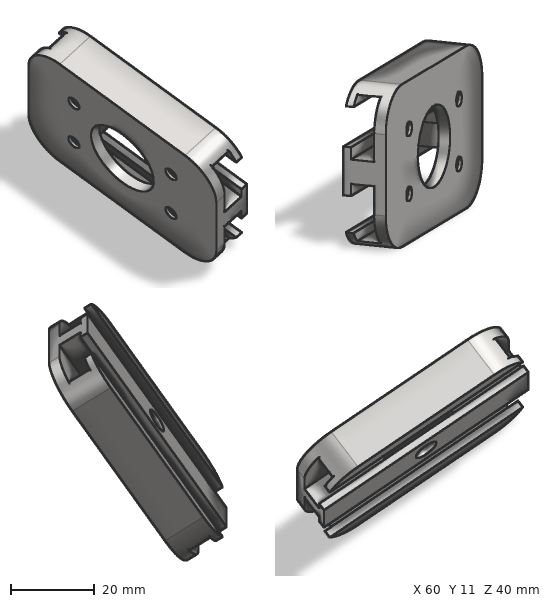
import cadquery as cq

length = 60.0
depth = 11.0
height = 40.0
corner_radius = 10.0

plate_thickness = 3.0
lip_thickness = 2.0
wall_thickness = 2.0
web_height = 6.0
flange_height = 12.0
lip_edge_z = 15.5

bore_diameter = 20.0
centre_hole_diameter = 6.0
screw_hole_diameter = 3.5
countersink_depth = 2.0
countersink_diameter = screw_hole_diameter + 2 * countersink_depth
screw_spacing_x = 31.0
screw_spacing_z = 16.0

lip_y = depth - lip_thickness


def rounded_block():
    """Full envelope with rounded corners, the plate front at Y = 0."""
    block = cq.Workplane("XY").box(length, depth, height, centered=(True, False, True))
    return block.edges("|Y").fillet(corner_radius)


def slab(y_start, y_end, z_start, z_end):
    """Box over the full length between the given Y and Z limits."""
    box = cq.Workplane("XY").box(length, y_end - y_start, z_end - z_start, centered=(True, False, False))
    return box.translate((0, y_start, z_start))


def t_slot():
    """Upper T-slot: a wide channel with a narrower mouth through the back."""
    channel = slab(plate_thickness, lip_y, web_height / 2, height / 2 - wall_thickness)
    mouth = slab(lip_y, depth, flange_height / 2, lip_edge_z)
    return channel.union(mouth)


def cylinder(diameter, y_start, y_end, x=0.0, z=0.0):
    """Cylinder along Y between the given limits."""
    axis_start = cq.Vector(x, y_start, z)
    return cq.Workplane(cq.Solid.makeCylinder(diameter / 2, y_end - y_start, axis_start, cq.Vector(0, 1, 0)))


def web_gap():
    """Square-ended gap in the web, as long as the bore is wide."""
    gap = cq.Workplane("XY").box(bore_diameter, lip_y - plate_thickness, web_height, centered=(True, False, True))
    return gap.translate((0, plate_thickness, 0))


def screw_hole(x, z):
    """Hole through the plate, countersunk from inside the slot."""
    through_hole = cylinder(screw_hole_diameter, 0, plate_thickness, x, z)
    cone_start = cq.Vector(x, plate_thickness - countersink_depth, z)
    cone = cq.Solid.makeCone(
        screw_hole_diameter / 2,
        countersink_diameter / 2,
        countersink_depth,
        cone_start,
        cq.Vector(0, 1, 0),
    )
    return through_hole.union(cq.Workplane(cone))


upper_slot = t_slot()
result = rounded_block().cut(upper_slot).cut(upper_slot.mirror("XY"))

result = result.cut(cylinder(bore_diameter, 0, plate_thickness))
result = result.cut(web_gap())
result = result.cut(cylinder(centre_hole_diameter, lip_y, depth))

for x_side in (-1, 1):
    for z_side in (-1, 1):
        screw_x = x_side * screw_spacing_x / 2
        screw_z = z_side * screw_spacing_z / 2
        result = result.cut(screw_hole(screw_x, screw_z))